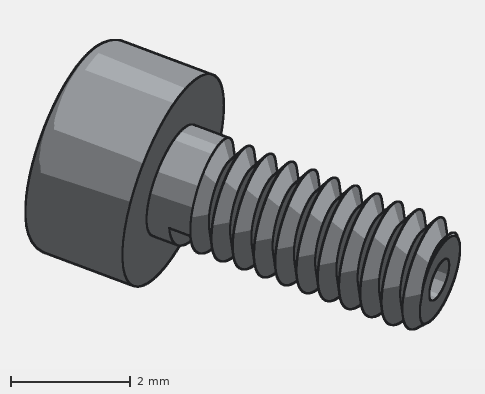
import cadquery as cq
import math

total_length = 6.93
head_diameter = 3.8
head_length = 1.93
head_fillet = 0.255
socket_across_flats = 1.505
socket_depth = 1.0
bore_diameter = 0.75

shank_diameter = 1.995
tip_chamfer = 0.215
thread_pitch = 0.4
thread_depth = 0.305
crest_width = 0.01
thread_start = 2.55
cutter_overhang = 0.003

shank_radius = shank_diameter / 2
groove_half_width = (thread_pitch - crest_width) / 2


def make_head():
    """Cylinder with its outer rim rounded."""
    head = cq.Workplane("YZ").circle(head_diameter / 2).extrude(head_length)
    return head.faces("<X").edges().fillet(head_fillet)


def make_socket():
    """Hexagonal pocket with flats facing up and down."""
    corner_diameter = socket_across_flats / (math.cos(math.pi / 6))
    return cq.Workplane("YZ").polygon(6, corner_diameter).extrude(socket_depth)


def make_bore():
    """Round hole along the whole axis."""
    return cq.Workplane("YZ").circle(bore_diameter / 2).extrude(total_length)


def make_groove_turn():
    """One right-hand turn of the V groove, starting at X = 0 on the -Y side."""
    helix = cq.Wire.makeHelix(thread_pitch, thread_pitch, shank_radius)
    cutter_depth = thread_depth + cutter_overhang
    cutter_half_width = groove_half_width * cutter_depth / thread_depth
    outer_radius = shank_radius + cutter_overhang
    profile = [
        (shank_radius - thread_depth, 0),
        (outer_radius, cutter_half_width),
        (outer_radius, -cutter_half_width),
    ]
    turn = cq.Workplane("XZ").polyline(profile).close().sweep(helix, isFrenet=True)
    turn = turn.rotate((0, 0, 0), (0, 1, 0), 90)
    return turn.rotate((0, 0, 0), (1, 0, 0), -90)


def make_shank():
    """Chamfered shank whose thread runs out past the tip, cut turn by turn."""
    shank = cq.Workplane("YZ").circle(shank_radius).extrude(total_length)
    shank = shank.faces(">X").chamfer(tip_chamfer)
    groove_turn = make_groove_turn()
    turn_count = math.ceil((total_length - thread_start) / thread_pitch) + 1
    for index in range(turn_count):
        shank = shank.cut(groove_turn.translate((thread_start + index * thread_pitch, 0, 0)))
    return shank


result = make_head().union(make_shank()).cut(make_socket()).cut(make_bore())